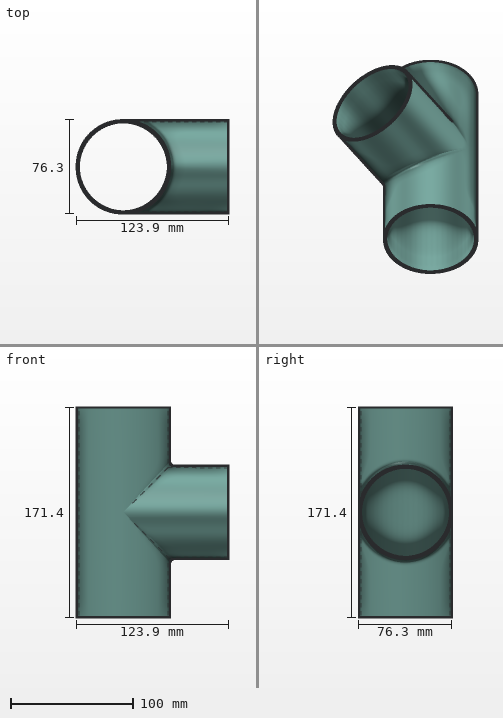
import cadquery as cq

run_length = 171.4
branch_reach = 85.7
outer_diameter = 76.3
wall = 1.7
crotch_radius = 3.0

outer_radius = outer_diameter / 2
inner_radius = outer_radius - wall

side_gap = 0.3


def tee_cylinders(radius):
    """Solid tee of equal run and branch cylinders."""
    run = cq.Workplane("XY").circle(radius).extrude(run_length / 2, both=True)
    branch = cq.Workplane("YZ").circle(radius).extrude(branch_reach)
    return run.union(branch)


def filleted_crotches(tee):
    """Middle slab of the tee, with its crotch seams filleted."""
    slab = cq.Workplane("XY").box(2 * branch_reach, outer_diameter - 2 * side_gap, run_length)
    return tee.intersect(slab).edges("%ELLIPSE").fillet(crotch_radius)


outer_tee = tee_cylinders(outer_radius)
outer_body = outer_tee.union(filleted_crotches(outer_tee))
result = outer_body.cut(tee_cylinders(inner_radius))